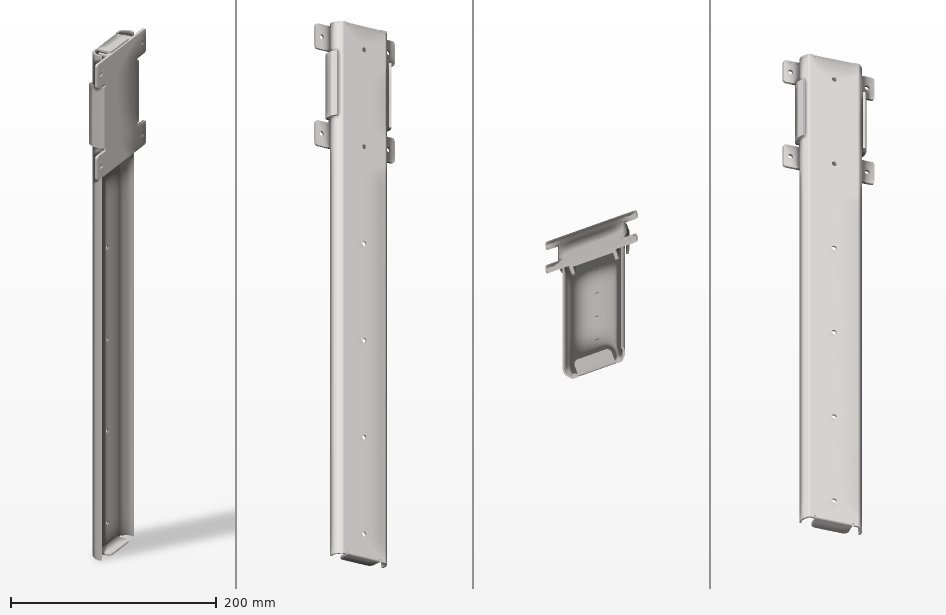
import cadquery as cq
import math


RAIL_LENGTH = 550.0
RAIL_SHEET = 2.0
WEB_HALF_FLAT = 24.0
WEB_BEND_RADIUS = 4.0
SLOPE_ANGLE = 40.0
SLOPE_LENGTH = 4.1
RACE_RADIUS = 9.0
RACE_END_ANGLE = 25.0
RAIL_HOLE_DIAMETER = 5.0
RAIL_HOLE_COUNT = 6
HOLE_PITCH = 100.0

TAB_HALF_WIDTH = 19.0
TAB_REACH = 16.5
TAB_CORNER_RADIUS = 5.0
TAB_BEND_RADIUS = 1.5
RELIEF_WIDTH = 1.0
RELIEF_HEIGHT = 3.0

DEPTH = 18.0
CARRIAGE_WIDTH = 94.0
CARRIAGE_SHEET = 3.0
PLATE_HEIGHT = 126.0
PLATE_FRONT_X = DEPTH - CARRIAGE_SHEET
PLATE_TOP_Z = RAIL_LENGTH - RAIL_SHEET
PLATE_BOTTOM_Z = PLATE_TOP_Z - PLATE_HEIGHT
PLATE_CENTRE_Z = PLATE_TOP_Z - PLATE_HEIGHT / 2
NECK_HALF_WIDTH = 30.0
EAR_HEIGHT = 26.0
EAR_CORNER_RADIUS = 3.0
EAR_HOLE_Y = 39.5
EAR_HOLE_DIAMETER = 5.0

WALL_Y = 36.0
WALL_HEIGHT = 66.5
ROOT_START_X = 14.5
ROOT_Y = 33.5
ROOT_BEND_RADIUS = 4.0
LIP_START_X = 6.0
LIP_TIP_Y = 32.5
LIP_BEND_RADIUS = 3.5

INNER_RACE_HALF_WIDTH = 24.0
INNER_RACE_FLANGE = 3.5
INNER_RACE_BASE = 2.0
INNER_RACE_FRONT_X = 5.5

PICK_MARGIN = 0.5


def polar(centre, radius, degrees):
    """Point on a circle; the angle runs from +Y toward -X."""
    angle = math.radians(degrees)
    return (centre[0] - radius * math.sin(angle), centre[1] + radius * math.cos(angle))


def mirror_y(point):
    return (point[0], -point[1])


def box(x0, x1, half_width, z0, z1):
    """Block between two X and two Z values, centred on Y = 0."""
    start = cq.Workplane("XY", origin=(x0, 0, z0))
    return start.box(x1 - x0, 2 * half_width, z1 - z0, centered=(False, True, False))


def edges_near(x, y, z0, z1):
    """Selector for the edges centred close to a line parallel to Z, between two Z values."""
    return cq.selectors.BoxSelector(
        (x - PICK_MARGIN, y - PICK_MARGIN, z0 - PICK_MARGIN),
        (x + PICK_MARGIN, y + PICK_MARGIN, z1 + PICK_MARGIN),
    )


def rail_profile():
    """Closed section of the rail: web, slopes and ball tracks, of constant thickness."""
    slope = math.radians(SLOPE_ANGLE)
    bend_centre = (WEB_BEND_RADIUS, WEB_HALF_FLAT)
    bend_end = polar(bend_centre, WEB_BEND_RADIUS, SLOPE_ANGLE)
    slope_end = (
        bend_end[0] + SLOPE_LENGTH * math.cos(slope),
        bend_end[1] + SLOPE_LENGTH * math.sin(slope),
    )
    race_centre = (
        slope_end[0] + RACE_RADIUS * math.sin(slope),
        slope_end[1] - RACE_RADIUS * math.cos(slope),
    )
    bend_middle_angle = (90 + SLOPE_ANGLE) / 2
    race_middle_angle = (SLOPE_ANGLE - RACE_END_ANGLE) / 2

    def edge_points(inset):
        """Points of one half at a given depth below the outer surface, from web to free edge."""
        bend = WEB_BEND_RADIUS - inset
        race = RACE_RADIUS - inset
        return [
            polar(bend_centre, bend, 90),
            polar(bend_centre, bend, bend_middle_angle),
            polar(bend_centre, bend, SLOPE_ANGLE),
            polar(race_centre, race, SLOPE_ANGLE),
            polar(race_centre, race, race_middle_angle),
            polar(race_centre, race, -RACE_END_ANGLE),
        ]

    outer = edge_points(0)
    inner = edge_points(RAIL_SHEET)
    outer_low = [mirror_y(p) for p in outer]
    inner_low = [mirror_y(p) for p in inner]
    return (
        cq.Workplane("XY")
        .moveTo(*outer_low[0])
        .lineTo(*outer[0])
        .threePointArc(outer[1], outer[2])
        .lineTo(*outer[3])
        .threePointArc(outer[4], outer[5])
        .lineTo(*inner[5])
        .threePointArc(inner[4], inner[3])
        .lineTo(*inner[2])
        .threePointArc(inner[1], inner[0])
        .lineTo(*inner_low[0])
        .threePointArc(inner_low[1], inner_low[2])
        .lineTo(*inner_low[3])
        .threePointArc(inner_low[4], inner_low[5])
        .lineTo(*outer_low[5])
        .threePointArc(outer_low[4], outer_low[3])
        .lineTo(*outer_low[2])
        .threePointArc(outer_low[1], outer_low[0])
        .close()
    )


def stop_tab(z0):
    """Flat tab with rounded free corners, reaching from the web toward +X."""
    tab = box(0, TAB_REACH, TAB_HALF_WIDTH, z0, z0 + RAIL_SHEET)
    return tab.edges("|Z and >X").fillet(TAB_CORNER_RADIUS)


def build_rail():
    rail = rail_profile().extrude(RAIL_LENGTH)

    for z0 in (0, RAIL_LENGTH - RELIEF_HEIGHT):
        for side in (-1, 1):
            relief = box(0, RAIL_SHEET, RELIEF_WIDTH / 2, z0, z0 + RELIEF_HEIGHT)
            rail = rail.cut(relief.translate((0, side * (TAB_HALF_WIDTH + RELIEF_WIDTH / 2), 0)))
    for z0 in (0, RAIL_LENGTH - RAIL_SHEET):
        rail = rail.union(stop_tab(z0))

    for z in (0, RAIL_LENGTH):
        rail = rail.edges(edges_near(0, 0, z, z)).fillet(TAB_BEND_RADIUS)

    first_hole_z = (RAIL_LENGTH - (RAIL_HOLE_COUNT - 1) * HOLE_PITCH) / 2
    for i in range(RAIL_HOLE_COUNT):
        hole = cq.Workplane("YZ").center(0, first_hole_z + i * HOLE_PITCH)
        rail = rail.cut(hole.circle(RAIL_HOLE_DIAMETER / 2).extrude(RAIL_SHEET))
    return rail


def carriage_plate():
    """Flat plate with four ears; gaps separate the ears from the stretch that carries the walls."""
    plate = box(PLATE_FRONT_X, DEPTH, NECK_HALF_WIDTH, PLATE_BOTTOM_Z, PLATE_TOP_Z)
    for z0 in (PLATE_BOTTOM_Z, PLATE_TOP_Z - EAR_HEIGHT):
        ears = box(PLATE_FRONT_X, DEPTH, CARRIAGE_WIDTH / 2, z0, z0 + EAR_HEIGHT)
        plate = plate.union(ears.edges("|X").fillet(EAR_CORNER_RADIUS))

    ear_holes = (
        cq.Workplane("YZ", origin=(PLATE_FRONT_X, 0, PLATE_CENTRE_Z))
        .rect(2 * EAR_HOLE_Y, HOLE_PITCH, forConstruction=True)
        .vertices()
        .circle(EAR_HOLE_DIAMETER / 2)
        .extrude(CARRIAGE_SHEET)
    )
    return plate.cut(ear_holes)


def carriage_wall():
    """Side wall on +Y: rises from the plate and ends in a lip inclined over the rail slope."""
    lip_angle = math.atan2(WALL_Y - LIP_TIP_Y, LIP_START_X)
    lip_tip_inner = (
        CARRIAGE_SHEET * math.sin(lip_angle),
        LIP_TIP_Y - CARRIAGE_SHEET * math.cos(lip_angle),
    )
    wall_inner_y = WALL_Y - CARRIAGE_SHEET
    lip_start_inner_x = lip_tip_inner[0] + (wall_inner_y - lip_tip_inner[1]) / math.tan(lip_angle)
    outline = [
        (DEPTH, NECK_HALF_WIDTH),
        (DEPTH, ROOT_Y),
        (ROOT_START_X, WALL_Y),
        (LIP_START_X, WALL_Y),
        (0, LIP_TIP_Y),
        lip_tip_inner,
        (lip_start_inner_x, wall_inner_y),
        (PLATE_FRONT_X, wall_inner_y),
        (PLATE_FRONT_X, NECK_HALF_WIDTH),
    ]
    bottom_z = PLATE_CENTRE_Z - WALL_HEIGHT / 2
    wall = cq.Workplane("XY", origin=(0, 0, bottom_z)).polyline(outline).close().extrude(WALL_HEIGHT)

    for bend_x, radius in ((ROOT_START_X, ROOT_BEND_RADIUS), (LIP_START_X, LIP_BEND_RADIUS)):
        bend_edge = edges_near(bend_x, WALL_Y, bottom_z, bottom_z + WALL_HEIGHT)
        wall = wall.edges("|Z").edges(bend_edge).fillet(radius)
    return wall


def build_carriage():
    wall = carriage_wall()
    return carriage_plate().union(wall).union(wall.mirror("XZ"))


def build_inner_race():
    """Channel lying on the carriage plate, with its flanges pointing toward the rail web."""
    base_front_x = PLATE_FRONT_X - INNER_RACE_BASE
    inside_half_width = INNER_RACE_HALF_WIDTH - INNER_RACE_FLANGE
    channel = box(INNER_RACE_FRONT_X, PLATE_FRONT_X, INNER_RACE_HALF_WIDTH, PLATE_BOTTOM_Z, PLATE_TOP_Z)
    inside = box(INNER_RACE_FRONT_X, base_front_x, inside_half_width, PLATE_BOTTOM_Z, PLATE_TOP_Z)
    return channel.cut(inside)


rail = build_rail()
carriage = build_carriage()
inner_race = build_inner_race()
result = cq.Compound.makeCompound([rail.val(), carriage.val(), inner_race.val()])